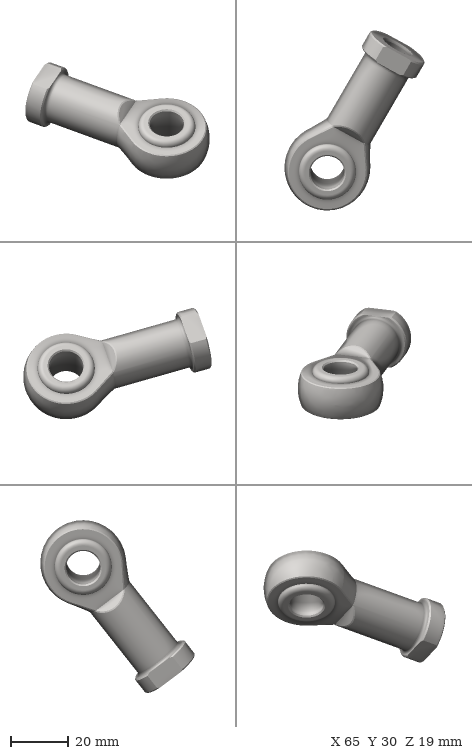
import cadquery as cq
import math


bearing_bore_diameter = 12.0
bearing_diameter = 20.0
bearing_width = 16.0
bearing_rounding = 2.0
bearing_bore_chamfer = 0.5

head_radius = 15.0
head_thickness = 12.0
head_edge_chamfer = 0.3
neck_angle = 30.0
neck_hollow_radius = 100.0

shank_diameter = 17.5
shank_start_x = -50.0
shank_end_x = -15.1
shank_fillet = 1.0

collar_diameter = 22.0
collar_length = 6.5
collar_across_flats = 19.0
collar_chamfer = 0.5

drill_diameter = 10.2
drill_mouth_diameter = 11.8
drill_tip_angle = 118.0
drill_exit_diameter = 5.0

shank_radius = shank_diameter / 2
collar_radius = collar_diameter / 2
bearing_radius = bearing_diameter / 2
half_thickness = head_thickness / 2

neck_start_x = -head_radius * math.sin(math.radians(neck_angle))
neck_start_radius = head_radius * math.cos(math.radians(neck_angle))


def make_blank():
    """Collar, shank, hollow neck and spherical head, turned about the X axis."""
    collar_end_x = shank_start_x + collar_length
    return (
        cq.Workplane("XY")
        .moveTo(shank_start_x, 0)
        .lineTo(shank_start_x, collar_radius - collar_chamfer)
        .lineTo(shank_start_x + collar_chamfer, collar_radius)
        .lineTo(collar_end_x - collar_chamfer, collar_radius)
        .lineTo(collar_end_x, collar_radius - collar_chamfer)
        .lineTo(collar_end_x, shank_radius + shank_fillet)
        .radiusArc((collar_end_x + shank_fillet, shank_radius), -shank_fillet)
        .lineTo(shank_end_x, shank_radius)
        .radiusArc((neck_start_x, neck_start_radius), -neck_hollow_radius)
        .threePointArc((0, head_radius), (head_radius, 0))
        .close()
        .revolve(360, (0, 0, 0), (1, 0, 0))
    )


def flat_cutter(side):
    """Material above one head flat, ending in a 45 degree ramp on the shank."""
    reach = 2 * head_radius
    rise = reach - half_thickness
    return (
        cq.Workplane("XZ")
        .moveTo(shank_end_x, side * half_thickness)
        .lineTo(reach, side * half_thickness)
        .lineTo(reach, side * reach)
        .lineTo(shank_end_x - rise, side * reach)
        .close()
        .extrude(reach, both=True)
    )


def wrench_flat_envelope():
    """Block that trims the collar to its two wrench flats."""
    full_length = 2 * abs(shank_start_x)
    full_width = 2 * head_radius
    return cq.Workplane("XY").box(full_length, full_width, collar_across_flats)


def make_drill():
    """Bore along X with a countersunk mouth and a conical tip that narrows to a small round exit."""
    drill_radius = drill_diameter / 2
    mouth_radius = drill_mouth_diameter / 2
    tip_slope = math.tan(math.radians(drill_tip_angle / 2))
    exit_radius = drill_exit_diameter / 2
    tip_end_x = -bearing_radius
    tip_start_x = tip_end_x - (drill_radius - exit_radius) / tip_slope
    return (
        cq.Workplane("XZ")
        .moveTo(shank_start_x, 0)
        .lineTo(shank_start_x, mouth_radius)
        .lineTo(shank_start_x + mouth_radius - drill_radius, drill_radius)
        .lineTo(tip_start_x, drill_radius)
        .lineTo(tip_end_x, exit_radius)
        .lineTo(tip_end_x + exit_radius, exit_radius)
        .lineTo(tip_end_x + exit_radius, 0)
        .close()
        .revolve(360, (0, 0, 0), (1, 0, 0))
    )


def make_bearing():
    """Bearing ring, rounded outside and left solid inside."""
    return (
        cq.Workplane("XY")
        .circle(bearing_radius)
        .extrude(bearing_width / 2, both=True)
        .faces("|Z")
        .edges()
        .fillet(bearing_rounding)
    )


def make_bearing_bore():
    """Through bore with a chamfer at both ends."""
    bore_radius = bearing_bore_diameter / 2
    half_width = bearing_width / 2
    mouth_radius = bore_radius + bearing_bore_chamfer
    return (
        cq.Workplane("XZ")
        .moveTo(0, -half_width)
        .lineTo(mouth_radius, -half_width)
        .lineTo(bore_radius, -half_width + bearing_bore_chamfer)
        .lineTo(bore_radius, half_width - bearing_bore_chamfer)
        .lineTo(mouth_radius, half_width)
        .lineTo(0, half_width)
        .close()
        .revolve(360, (0, 0, 0), (0, 1, 0))
    )


def head_rim_edges(body):
    """Curved edges around the head flats and their ramps."""
    flats = body.faces("|Z").faces(
        cq.selectors.BoxSelector(
            (-head_radius, -head_radius, -head_thickness),
            (head_radius, head_radius, head_thickness),
        )
    )
    upper_ramp = body.faces(cq.selectors.ParallelDirSelector(cq.Vector(1, 0, 1)))
    lower_ramp = body.faces(cq.selectors.ParallelDirSelector(cq.Vector(1, 0, -1)))
    return flats.add(upper_ramp).add(lower_ramp).edges("not %LINE")


body = make_blank().intersect(wrench_flat_envelope())
for side in (1, -1):
    body = body.cut(flat_cutter(side))
body = head_rim_edges(body).chamfer(head_edge_chamfer)

bearing = make_bearing()
shank_cavity = make_drill().cut(bearing)
result = body.union(bearing).cut(shank_cavity).cut(make_bearing_bore())